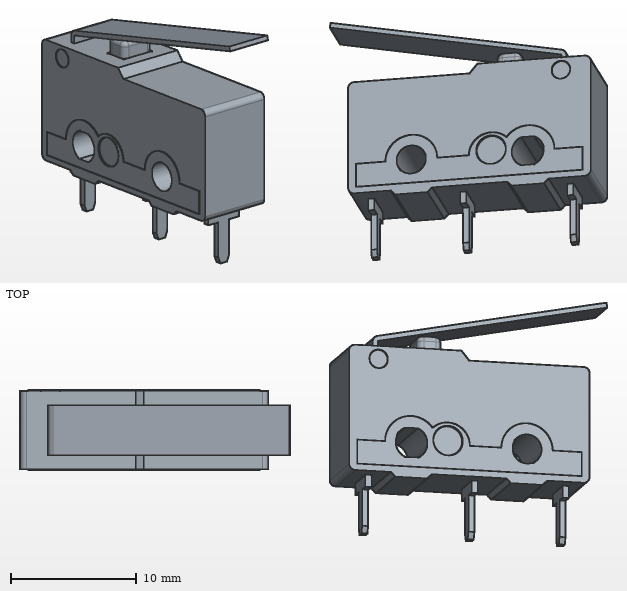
import cadquery as cq
import math

housing_length = 19.8
housing_depth = 6.27
housing_height = 10.24
low_top = 9.45
step_start = 9.25
step_end = 9.9
corner_radius = 0.5

foot_height = 0.37
foot_bottom_width = 2.65
foot_top_width = 3.38

hole_diameter = 2.4
flatted_diameter = 2.6
flatted_x = 5.13
hole_x = 14.63
hole_z = 2.48

pad_height = 0.06
pad_margin_x = 0.67
pad_bottom = 0.52
flatted_pad_radius = 2.18
hole_pad_radius = 2.11
dimple_pad_radius = 1.8

big_dimple_diameter = 2.44
big_dimple_x = 8.12
big_dimple_z = 2.8
big_dimple_depth = 0.1
small_dimple_diameter = 1.53
small_dimple_x = 2.44
small_dimple_z = 9.18
small_dimple_depth = 0.06
dimple_taper = 20

plunger_width = 1.98
plunger_depth = 3.0
plunger_x = 7.07
plunger_top = 11.68
plunger_radius = 0.5
plunger_top_radius = 0.45
plunger_foot_height = 0.5

lever_width = 4.0
lever_thickness = 0.4
lever_left = 2.25
lever_angle = 11.3
lever_bend_radius = 0.5
lever_tip_x = 21.55
lever_top = 15.08

terminal_x_positions = (1.98, 10.73, 18.23)
terminal_thickness = 0.5
shoulder_width = 3.25
shoulder_bottom = -0.97
blade_width = 1.15
blade_tip_width = 0.7
blade_taper_top = -3.95
terminal_bottom = -4.5


def prism_along_y(outline, depth):
    """Extrude an XZ outline symmetrically about Y = 0."""
    return outline.extrude(depth / 2, both=True)


def make_housing_block():
    outline = (
        cq.Workplane("XZ")
        .polyline([
            (0, 0),
            (housing_length, 0),
            (housing_length, low_top),
            (step_end, low_top),
            (step_start, housing_height),
            (0, housing_height),
        ])
        .close()
    )
    block = prism_along_y(outline, housing_depth)
    return block.edges("|Y and (<X or >X)").fillet(corner_radius)


def make_foot(x):
    outline = (
        cq.Workplane("XZ")
        .polyline([
            (x - foot_top_width / 2, 0),
            (x - foot_bottom_width / 2, -foot_height),
            (x + foot_bottom_width / 2, -foot_height),
            (x + foot_top_width / 2, 0),
        ])
        .close()
    )
    return prism_along_y(outline, housing_depth)


def make_pads():
    """Front and back pads as one slab running through the housing."""
    depth = housing_depth + 2 * pad_height
    pad_length = housing_length - 2 * pad_margin_x
    bar = (
        cq.Workplane("XZ")
        .center(housing_length / 2, (pad_bottom + hole_z) / 2)
        .rect(pad_length, hole_z - pad_bottom)
    )
    pads = prism_along_y(bar, depth)
    arches = (
        (flatted_x, flatted_pad_radius),
        (big_dimple_x, dimple_pad_radius),
        (hole_x, hole_pad_radius),
    )
    for x, radius in arches:
        arch = (
            cq.Workplane("XZ")
            .moveTo(x - radius, hole_z)
            .threePointArc((x, hole_z + radius), (x + radius, hole_z))
            .close()
        )
        pads = pads.union(prism_along_y(arch, depth))
    return pads


def make_mounting_holes():
    depth = housing_depth + 4 * pad_height
    round_hole = cq.Workplane("XZ").center(hole_x, hole_z).circle(hole_diameter / 2)
    wide_hole = cq.Workplane("XZ").center(flatted_x, hole_z).circle(flatted_diameter / 2)
    between_flats = cq.Workplane("XZ").center(flatted_x, hole_z).rect(flatted_diameter, hole_diameter)
    flatted_hole = prism_along_y(wide_hole, depth).intersect(prism_along_y(between_flats, depth))
    return prism_along_y(round_hole, depth).union(flatted_hole)


def make_dimples(x, z, diameter, surface_y, depth):
    """Front dimple cutter and its mirror image for the back."""
    front = (
        cq.Workplane("XZ", origin=(x, -surface_y, z))
        .circle(diameter / 2)
        .extrude(-depth, taper=dimple_taper)
    )
    return front.union(front.mirror("XZ"))


def make_plunger():
    foot_bottom = housing_height - plunger_foot_height
    foot = (
        cq.Workplane("XY", origin=(plunger_x, 0, foot_bottom))
        .rect(plunger_width, plunger_depth)
        .extrude(plunger_foot_height)
    )
    button = (
        cq.Workplane("XY", origin=(plunger_x, 0, housing_height))
        .rect(plunger_width, plunger_depth)
        .extrude(plunger_top - housing_height)
        .edges("|Z")
        .fillet(plunger_radius)
        .faces(">Z")
        .edges()
        .fillet(plunger_top_radius)
    )
    return foot.union(button)


def make_lever():
    angle = math.radians(lever_angle)
    inner_radius = lever_bend_radius - lever_thickness
    tip_top_x = lever_tip_x - lever_thickness * math.sin(angle)
    tip_bottom_z = lever_top - lever_thickness * math.cos(angle)
    bend_x = lever_left + lever_bend_radius
    top_above_bend = lever_top - (tip_top_x - bend_x) * math.tan(angle)
    bend_z = top_above_bend - lever_bend_radius / math.cos(angle)

    def on_bend(radius, direction):
        return bend_x + radius * math.cos(direction), bend_z + radius * math.sin(direction)

    bend_end = math.pi / 2 + angle
    bend_middle = (bend_end + math.pi) / 2
    outline = (
        cq.Workplane("XZ")
        .moveTo(lever_left, housing_height)
        .lineTo(lever_left, bend_z)
        .threePointArc(on_bend(lever_bend_radius, bend_middle), on_bend(lever_bend_radius, bend_end))
        .lineTo(tip_top_x, lever_top)
        .lineTo(lever_tip_x, tip_bottom_z)
        .lineTo(*on_bend(inner_radius, bend_end))
        .threePointArc(on_bend(inner_radius, bend_middle), on_bend(inner_radius, math.pi))
        .lineTo(lever_left + lever_thickness, housing_height)
        .close()
    )
    return prism_along_y(outline, lever_width)


def make_terminal(x):
    half_outline = [
        (shoulder_width / 2, 0),
        (shoulder_width / 2, shoulder_bottom),
        (blade_width / 2, shoulder_bottom),
        (blade_width / 2, blade_taper_top),
        (blade_tip_width / 2, terminal_bottom),
    ]
    other_half = [(-y, z) for y, z in reversed(half_outline)]
    return (
        cq.Workplane("YZ", origin=(x, 0, 0))
        .polyline(half_outline + other_half)
        .close()
        .extrude(terminal_thickness / 2, both=True)
    )


lever = make_lever()
plunger = make_plunger().cut(lever)

housing = make_housing_block()
for foot_x in (flatted_x, hole_x):
    housing = housing.union(make_foot(foot_x))
housing = housing.union(make_pads())
housing = housing.cut(make_mounting_holes())
pad_surface = housing_depth / 2 + pad_height
housing = housing.cut(
    make_dimples(big_dimple_x, big_dimple_z, big_dimple_diameter, pad_surface, big_dimple_depth)
)
housing = housing.cut(
    make_dimples(
        small_dimple_x, small_dimple_z, small_dimple_diameter, housing_depth / 2, small_dimple_depth
    )
)
housing = housing.cut(plunger)

terminals = [make_terminal(x) for x in terminal_x_positions]

result = cq.Compound.makeCompound(
    [housing.val(), plunger.val(), lever.val()] + [terminal.val() for terminal in terminals]
)